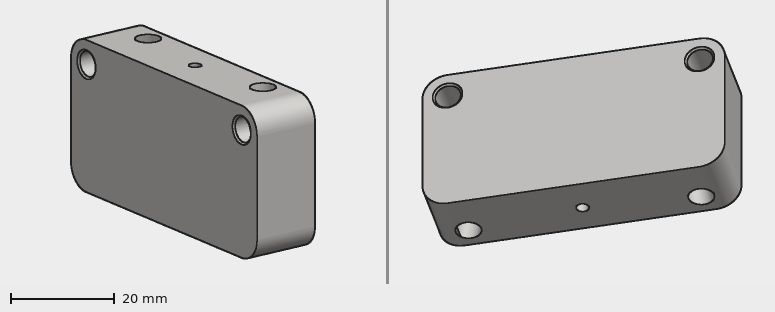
import cadquery as cq

width = 60.0
depth = 14.0
height = 31.0
corner_radius = 5.0

mount_diameter = 5.1
mount_chamfer = 0.4
mount_x = width / 2 - corner_radius
mount_z = height / 2 - corner_radius

bore_diameter = 2.5
bore_y = 0.5

channel_diameter = 5.1
channel_top_x = 18.5
channel_top_y = 3.0
channel_lean_x = 4.6
channel_lean_y = 0.6


def make_block():
    return (
        cq.Workplane("XZ")
        .rect(width, height)
        .extrude(depth / 2, both=True)
        .edges("|Y")
        .fillet(corner_radius)
    )


def make_mount_hole(side):
    """Through hole along Y, chamfered where it opens on the front face."""
    mouth_diameter = mount_diameter + 2 * mount_chamfer
    front = cq.Workplane("XZ", origin=(side * mount_x, -depth / 2, mount_z))
    hole = front.circle(mount_diameter / 2).extrude(-depth)
    mouth = (
        front.circle(mouth_diameter / 2)
        .workplane(offset=-mount_chamfer)
        .circle(mount_diameter / 2)
        .loft(ruled=True)
    )
    return hole.union(mouth)


def make_bore():
    return (
        cq.Workplane("XY", origin=(0, bore_y, -height / 2))
        .circle(bore_diameter / 2)
        .extrude(height)
    )


def make_channel(side):
    """Slanted channel, circular at both ends, from the top face to the bottom face."""
    return (
        cq.Workplane("XY", origin=(side * channel_top_x, channel_top_y, height / 2))
        .circle(channel_diameter / 2)
        .workplane(offset=-height)
        .center(side * channel_lean_x, -channel_lean_y)
        .circle(channel_diameter / 2)
        .loft(ruled=True)
    )


result = make_block().cut(make_bore())
for side in (-1, 1):
    result = result.cut(make_mount_hole(side))
    result = result.cut(make_channel(side))